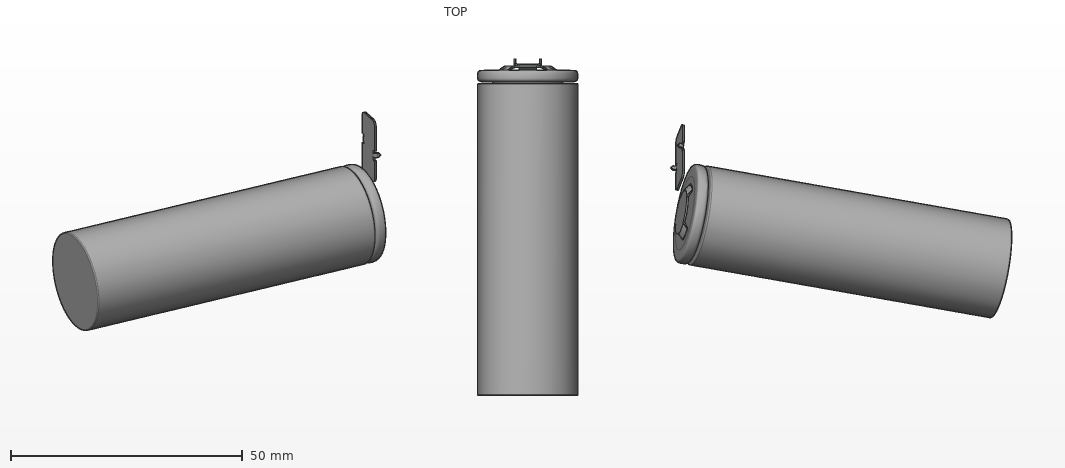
import cadquery as cq


cell_diameter = 21.7
cell_radius = cell_diameter / 2
can_length = 67.3
shoulder_start = 67.0
can_edge_radius = 0.2
neck_radius = 7.6

rim_start = 67.6
rim_end = 70.1
rim_crown_radius = 8.05

terminal_top = 71.1
disc_radius = 4.7
knee_radius = 5.0
foot_radius = 6.45
terminal_thickness = 0.35
leg_width = 3.8
leg_angles = (30, 150, 270)

tab_front = terminal_top
tab_thickness = 0.4
tab_width = 5.95
tab_bottom = 8.2
overall_height = 34.1
tab_top = overall_height - cell_radius
tab_corner_radius = 1.2

prong_tip = 72.6
prong_width = 1.0
prong_bend_radius = 0.7
left_prong_height = 16.6
right_prong_height = 14.9
slot_width = 0.69

tab_half_width = tab_width / 2
prong_root = tab_half_width - prong_bend_radius
axis_start = (0, 0, 0)
axis_end = (0, 1, 0)


def make_can():
    """Can with a rounded closed end and a shoulder that curves in to the groove neck."""
    body = (
        cq.Workplane("YZ")
        .lineTo(0, cell_radius)
        .lineTo(shoulder_start, cell_radius)
        .bezier(
            [
                (can_length, cell_radius),
                (can_length, cell_radius),
                (can_length, neck_radius),
            ],
            includeCurrent=True,
        )
        .lineTo(rim_end, neck_radius)
        .lineTo(rim_end, 0)
        .close()
        .revolve(360, axis_start, (1, 0, 0))
    )
    return body.faces("<Y").edges().fillet(can_edge_radius)


def make_rim():
    """Bead of the crimp: one smooth curve from its crown round to the groove."""
    corner_repeats = 3
    degree = 2 * corner_repeats + 1
    end_weight = 0.5**degree
    pull_radius = (cell_radius - end_weight * (rim_crown_radius + neck_radius)) / (1 - 2 * end_weight)
    lower_corner = (-pull_radius, rim_start)
    upper_corner = (-pull_radius, rim_end)
    crown = (-rim_crown_radius, rim_end)
    outline = (
        cq.Workplane("XY")
        .moveTo(0, rim_start)
        .lineTo(-neck_radius, rim_start)
        .bezier(
            [lower_corner] * corner_repeats + [upper_corner] * corner_repeats + [crown],
            includeCurrent=True,
        )
        .lineTo(0, rim_end)
        .close()
    )
    return outline.revolve(360, axis_start, axis_end)


def make_terminal():
    """Thin hat of revolution, cut away between the legs outside the disc."""
    underside = terminal_top - terminal_thickness
    hat = (
        cq.Workplane("XY")
        .polyline(
            [
                (0, terminal_top),
                (knee_radius, terminal_top),
                (foot_radius, rim_end),
                (foot_radius - terminal_thickness, rim_end),
                (knee_radius - terminal_thickness, underside),
                (0, underside),
            ]
        )
        .close()
        .revolve(360, axis_start, axis_end)
    )
    kept = cq.Workplane("XZ", origin=(0, rim_end, 0)).circle(disc_radius).extrude(rim_end - terminal_top)
    for angle in leg_angles:
        strip = (
            cq.Workplane("XY")
            .box(foot_radius, terminal_top - rim_end, leg_width, centered=(False, False, True))
            .translate((0, rim_end, 0))
            .rotate(axis_start, axis_end, -angle)
        )
        kept = kept.union(strip)
    return hat.intersect(kept)


def make_cell():
    """Can, rim and positive terminal as one solid."""
    return make_can().union(make_rim()).union(make_terminal())


def make_prong_notch(side, height):
    """Cutter for one tab edge: the bent-out prong blank and a round-ended slot on either side of it."""
    notch = (
        cq.Workplane("XZ", origin=(0, tab_front, 0))
        .center(side * (prong_root + prong_bend_radius / 2), height)
        .rect(prong_bend_radius, prong_width)
        .extrude(-tab_thickness)
    )
    slot_offset = (prong_width + slot_width) / 2
    slot_length = prong_bend_radius + slot_width
    slots = (
        cq.Workplane("XZ", origin=(0, tab_front, 0))
        .center(side * (prong_root + slot_length / 2), height)
        .pushPoints([(0, -slot_offset), (0, slot_offset)])
        .slot2D(slot_length, slot_width)
        .extrude(-tab_thickness)
    )
    return notch.union(slots)


def make_prong(side, height):
    """Prong that bends from the tab toward +Y and ends in a 45 degree point."""
    half_width = prong_width / 2
    bend_end = tab_front + prong_bend_radius
    point_start = prong_tip - half_width
    inner_radius = prong_bend_radius - tab_thickness
    inner_face = tab_half_width - tab_thickness
    bent_strip = (
        cq.Workplane("XY", origin=(0, 0, height))
        .moveTo(side * prong_root, tab_front)
        .radiusArc((side * tab_half_width, bend_end), -side * prong_bend_radius)
        .lineTo(side * tab_half_width, prong_tip)
        .lineTo(side * inner_face, prong_tip)
        .lineTo(side * inner_face, bend_end)
        .radiusArc((side * prong_root, tab_front + tab_thickness), side * inner_radius)
        .close()
        .extrude(half_width, both=True)
    )
    pointed_outline = (
        cq.Workplane("YZ", origin=(0, 0, height))
        .polyline(
            [
                (tab_front, -half_width),
                (point_start, -half_width),
                (prong_tip, 0),
                (point_start, half_width),
                (tab_front, half_width),
            ]
        )
        .close()
        .extrude(tab_half_width, both=True)
    )
    return bent_strip.intersect(pointed_outline)


def make_tab():
    """Flat strip with rounded corners and a prong on each long edge."""
    tab = (
        cq.Workplane("XY", origin=(0, tab_front, tab_bottom))
        .box(tab_width, tab_thickness, tab_top - tab_bottom, centered=(True, False, False))
        .edges("|Y")
        .fillet(tab_corner_radius)
    )
    for side, height in ((-1, left_prong_height), (1, right_prong_height)):
        tab = tab.cut(make_prong_notch(side, height))
        tab = tab.union(make_prong(side, height))
    return tab


cell = make_cell()
tab = make_tab()
result = cq.Compound.makeCompound([cell.val(), tab.val()])